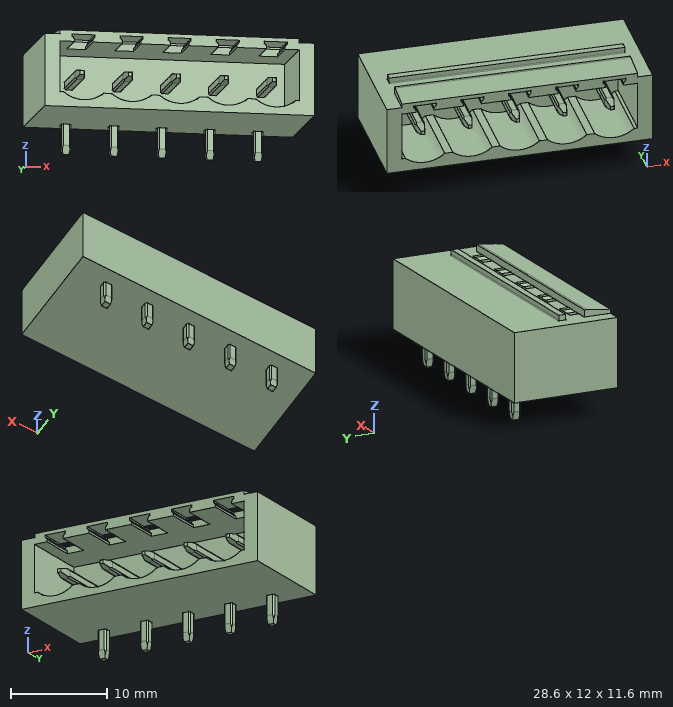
import cadquery as cq
import math

PIN_COUNT = 5
PIN_PITCH = 5.1
PIN_X = [(i - (PIN_COUNT - 1) / 2) * PIN_PITCH for i in range(PIN_COUNT)]

HOUSING_WIDTH = 28.6
HOUSING_DEPTH = 12.0
HOUSING_HEIGHT = 7.7

SIDE_WALL = 1.63
SOCKET_WIDTH = HOUSING_WIDTH - 2 * SIDE_WALL
SOCKET_DEPTH = 8.0
SOCKET_FLOOR = 1.55
SOCKET_CEILING = 6.92

GROOVE_WIDTH = 4.23
GROOVE_BOTTOM = 0.77

SLOT_DEPTH = 4.15
SLOT_TOP_WIDTH = 2.43
SLOT_NECK_WIDTH = 1.95
SLOT_SIDE_HEIGHT = 0.2
SLOT_TAPER_HEIGHT = 0.31

LIP_WIDTH = SOCKET_WIDTH
LIP_DEPTH = 3.1
LIP_FLAT = 0.25
LIP_HEIGHT = 0.77
LIP_FRONT_HEIGHT = 0.43

RIB_WIDTH = SOCKET_WIDTH
RIB_FRONT = 5.25
RIB_THICKNESS = 0.77
RIB_HEIGHT = 0.6
RIB_ROOT_RADIUS = 0.1

PIN_SIZE = 1.0
PIN_CHAMFER = 0.17
PIN_AXIS_Z = 3.83
PIN_TIP_Y = 0.85
PIN_LEG_Y = HOUSING_DEPTH - 2.05
PIN_LEG_LENGTH = 3.17
CONTACT_TAPER = 1.37
CONTACT_TIP_SIZE = 0.4
LEG_TAPER = 0.95
LEG_TIP_SIZE = 0.65


def extrude_front_profile(profile, depth):
    """Extrude an XZ profile from the front face (y = 0) toward the rear."""
    return profile.extrude(-depth)


def make_socket():
    """Cutter for the cavity with its scalloped floor."""
    half_width = SOCKET_WIDTH / 2
    profile = cq.Workplane("XZ").moveTo(-half_width, SOCKET_CEILING).lineTo(-half_width, SOCKET_FLOOR)
    for x in PIN_X:
        profile = profile.lineTo(x - GROOVE_WIDTH / 2, SOCKET_FLOOR)
        profile = profile.threePointArc((x, GROOVE_BOTTOM), (x + GROOVE_WIDTH / 2, SOCKET_FLOOR))
    profile = profile.lineTo(half_width, SOCKET_FLOOR).lineTo(half_width, SOCKET_CEILING).close()
    return extrude_front_profile(profile, SOCKET_DEPTH)


def make_slot(x):
    """Cutter for the dovetail slot over the pin at x."""
    half_top = SLOT_TOP_WIDTH / 2
    half_neck = SLOT_NECK_WIDTH / 2
    side_end = HOUSING_HEIGHT - SLOT_SIDE_HEIGHT
    taper_end = side_end - SLOT_TAPER_HEIGHT
    right_side = [
        (x + half_top, HOUSING_HEIGHT),
        (x + half_top, side_end),
        (x + half_neck, taper_end),
        (x + half_neck, SOCKET_CEILING),
    ]
    left_side = [(2 * x - px, pz) for px, pz in reversed(right_side)]
    profile = cq.Workplane("XZ").polyline(right_side + left_side).close()
    return extrude_front_profile(profile, SLOT_DEPTH)


def make_lip():
    """Latching lip, level at the rear and falling toward the front."""
    profile = [
        (0, HOUSING_HEIGHT),
        (0, HOUSING_HEIGHT + LIP_FRONT_HEIGHT),
        (LIP_DEPTH - LIP_FLAT, HOUSING_HEIGHT + LIP_HEIGHT),
        (LIP_DEPTH, HOUSING_HEIGHT + LIP_HEIGHT),
        (LIP_DEPTH, HOUSING_HEIGHT),
    ]
    return cq.Workplane("YZ").polyline(profile).close().extrude(LIP_WIDTH / 2, both=True)


def make_rib():
    """Straight rib with a small fillet along each side of its root."""
    rear = RIB_FRONT + RIB_THICKNESS
    root = RIB_ROOT_RADIUS
    root_top = HOUSING_HEIGHT + root
    rib_top = HOUSING_HEIGHT + RIB_HEIGHT
    arc_inset = root * (1 - math.sqrt(0.5))
    profile = (
        cq.Workplane("YZ")
        .moveTo(RIB_FRONT - root, HOUSING_HEIGHT)
        .threePointArc((RIB_FRONT - arc_inset, HOUSING_HEIGHT + arc_inset), (RIB_FRONT, root_top))
        .lineTo(RIB_FRONT, rib_top)
        .lineTo(rear, rib_top)
        .lineTo(rear, root_top)
        .threePointArc((rear + arc_inset, HOUSING_HEIGHT + arc_inset), (rear + root, HOUSING_HEIGHT))
        .close()
    )
    return profile.extrude(RIB_WIDTH / 2, both=True)


def pin_section(plane):
    """Square with cut corners, drawn on the given plane."""
    half = PIN_SIZE / 2
    inner = half - PIN_CHAMFER
    corners = [
        (half, inner), (inner, half), (-inner, half), (-half, inner),
        (-half, -inner), (-inner, -half), (inner, -half), (half, -inner),
    ]
    return cq.Workplane(plane).polyline(corners).close()


def make_tip(plane, taper, tip_size):
    """Pin end that starts on the plane and narrows to a small square."""
    side_angle = math.degrees(math.atan2((PIN_SIZE - tip_size) / 2, taper))
    pyramid = cq.Workplane(plane).rect(PIN_SIZE, PIN_SIZE).extrude(taper, taper=side_angle)
    return pin_section(plane).extrude(taper).intersect(pyramid)


def make_pin(x):
    """L-shaped pin: a contact pointing forward and a leg pointing down."""
    contact_start = (x, PIN_TIP_Y + CONTACT_TAPER, PIN_AXIS_Z)
    elbow = (x, PIN_LEG_Y, PIN_AXIS_Z)
    leg_end = (x, PIN_LEG_Y, LEG_TAPER - PIN_LEG_LENGTH)
    contact_plane = cq.Plane(origin=contact_start, xDir=(1, 0, 0), normal=(0, -1, 0))
    leg_plane = cq.Plane(origin=leg_end, xDir=(1, 0, 0), normal=(0, 0, -1))

    path = cq.Workplane(cq.Wire.makePolygon([cq.Vector(*p) for p in (contact_start, elbow, leg_end)]))
    shaft = pin_section(contact_plane).sweep(path, transition="right")
    contact_tip = make_tip(contact_plane, CONTACT_TAPER, CONTACT_TIP_SIZE)
    leg_tip = make_tip(leg_plane, LEG_TAPER, LEG_TIP_SIZE)
    return shaft.union(contact_tip).union(leg_tip)


def make_housing(pins):
    """Housing with its socket, slots and a fitting passage for every pin."""
    block = cq.Workplane("XY").box(
        HOUSING_WIDTH, HOUSING_DEPTH, HOUSING_HEIGHT, centered=(True, False, False)
    )
    housing = block.union(make_lip()).union(make_rib()).cut(make_socket())
    for x in PIN_X:
        housing = housing.cut(make_slot(x))
    for pin in pins:
        housing = housing.cut(pin)
    return housing


pins = [make_pin(x) for x in PIN_X]
housing = make_housing(pins)

result = cq.Compound.makeCompound([housing.solids().val(), *[pin.solids().val() for pin in pins]])